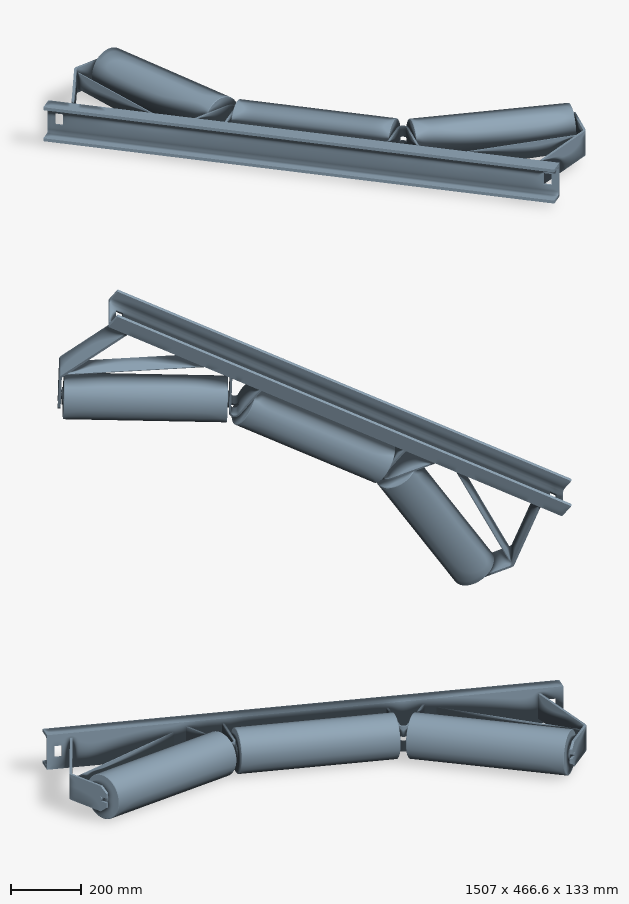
import cadquery as cq
import math

beam_length = 1507.0
beam_height = 105.0
beam_depth = 50.0
web_thickness = 6.0
flange_thickness = 9.0
root_radius = 9.0
bolt_slot_width = 23.0
bolt_slot_height = 35.0
bolt_slot_inset = 33.0

roller_diameter = 133.0
roller_length = 464.0
roller_edge_chamfer = 2.0
hub_diameter = 48.0
hub_length = 5.0
trough_angle = 30.0
middle_axis_y = 118.0
side_roller_x = 481.0
side_roller_y = 244.0

shaft_diameter = 20.0
shaft_flat_width = 14.0

bracket_height = 77.0
inner_gap = 5.0
outer_gap = 8.0
inner_thickness = 6.0
outer_thickness = 8.0
inner_bend_radius = 17.0
outer_bend_radius = 18.0
outer_leg_lean = 14.5
outer_tip_rise = 30.0
tip_bevel_along = 23.0
tip_bevel_across = 17.0
brace_thickness = 3.0
brace_height = 50.0
brace_foot_x = 383.0
brace_head_x = 743.0
brace_head_y = 265.0
foot_overrun = 15.0

half_roller = roller_length / 2
inner_face = half_roller + inner_gap
outer_face = half_roller + outer_gap + outer_thickness
inner_shaft_end = inner_face + inner_thickness
lean = math.radians(outer_leg_lean)

x_direction = cq.Vector(1, 0, 0)
y_direction = cq.Vector(0, 1, 0)
web_back = cq.Vector(0, 0, 0)
leg_direction = cq.Vector(-math.sin(lean), math.cos(lean), 0)

trough = math.radians(trough_angle)
axis_direction = cq.Vector(-math.cos(trough), math.sin(trough), 0)
rise_direction = cq.Vector(math.sin(trough), math.cos(trough), 0)
side_center = cq.Vector(-side_roller_x, side_roller_y, 0)
side_plane = cq.Plane(origin=side_center, xDir=rise_direction, normal=axis_direction)
middle_plane = cq.Plane(origin=(0, middle_axis_y, 0), xDir=(0, 1, 0), normal=(-1, 0, 0))


def mirrored(body):
    """Right-hand copy of a left-hand body."""
    return body.mirror("YZ")


def side_point(outward, rise):
    """Point in XY given along and across the left roller's axis."""
    return side_center + axis_direction * outward + rise_direction * rise


def crossing(point_a, direction_a, point_b, direction_b):
    """Point where two lines in XY cross."""
    along = (point_b - point_a).cross(direction_b).z / direction_a.cross(direction_b).z
    return point_a + direction_a * along


def right_of(direction):
    """Direction in XY turned a quarter turn clockwise."""
    return cq.Vector(direction.y, -direction.x, 0)


def prism(points, height):
    """Upright prism on a polygon in XY, centred on Z = 0."""
    outline = cq.Workplane("XY").workplane(offset=-height / 2).polyline([(p.x, p.y) for p in points])
    return outline.close().extrude(height)


def bent_plate(start, bend, end, thickness, outer_radius):
    """Plate bent once: the points lie on its outer face, the metal on the right of their path."""
    first = (bend - start).normalized()
    second = (end - bend).normalized()
    inner_start = start + right_of(first) * thickness
    inner_end = end + right_of(second) * thickness
    inner_bend = crossing(inner_start, first, inner_end, second)
    plate = prism([start, bend, end, inner_end, inner_bend, inner_start], bracket_height)
    plate = plate.edges(cq.NearestToPointSelector(bend.toTuple())).fillet(outer_radius)
    inner_edge = cq.NearestToPointSelector(inner_bend.toTuple())
    return plate.edges(inner_edge).fillet(outer_radius - thickness)


def make_beam():
    """Channel with a rounded root and a bolt slot through the web near each end."""
    flange_gap = beam_height - 2 * flange_thickness
    beam = cq.Workplane("XY").box(beam_length, beam_depth, beam_height).translate((0, -beam_depth / 2, 0))
    channel = (
        cq.Workplane("XY")
        .box(beam_length, beam_depth, flange_gap)
        .edges("|X and >Y")
        .fillet(root_radius)
        .translate((0, -beam_depth / 2 - web_thickness, 0))
    )
    bolt_slot_x = beam_length / 2 - bolt_slot_inset
    bolt_slots = (
        cq.Workplane("XZ")
        .pushPoints([(-bolt_slot_x, 0), (bolt_slot_x, 0)])
        .rect(bolt_slot_width, bolt_slot_height)
        .extrude(web_thickness)
    )
    return beam.cut(channel).cut(bolt_slots)


def make_outer_bracket():
    """Left outer bracket: leaning leg, bend at the beam's end in X, plate across the roller axis."""
    bend_center = crossing(
        side_point(outer_face - outer_bend_radius, 0),
        rise_direction,
        x_direction * (outer_bend_radius - beam_length / 2),
        y_direction,
    )
    leg_point = bend_center - right_of(leg_direction) * outer_bend_radius
    tip = side_point(outer_face, outer_tip_rise)
    bend = crossing(leg_point, leg_direction, tip, rise_direction)
    foot = crossing(leg_point, leg_direction, web_back, x_direction) - leg_direction * foot_overrun
    plate = bent_plate(foot, bend, tip, outer_thickness, outer_bend_radius)
    return plate.cut(make_tip_corners())


def make_tip_corners():
    """Two wedges that bevel the outer bracket's tip corners."""
    corner = bracket_height / 2
    wedge = (
        cq.Workplane(side_plane)
        .workplane(offset=outer_face - outer_thickness)
        .moveTo(outer_tip_rise, corner)
        .lineTo(outer_tip_rise - tip_bevel_along, corner)
        .lineTo(outer_tip_rise, corner - tip_bevel_across)
        .close()
        .extrude(outer_thickness)
    )
    return wedge.union(wedge.mirror("XY"))


def make_inner_bracket():
    """Left inner bracket: slanted leg under the side roller, upright leg under the middle one."""
    slanted = side_point(-inner_face, 0)
    upright = -x_direction * inner_face
    ridge = crossing(slanted, rise_direction, upright, y_direction)
    slanted_foot = crossing(slanted, rise_direction, web_back, x_direction) - rise_direction * foot_overrun
    bracket = bent_plate(slanted_foot, ridge, upright, inner_thickness, inner_bend_radius)

    slot_bottom = (slanted.y + middle_axis_y) / 2
    slot_corners = [
        cq.Vector(slanted_foot.x, slot_bottom, 0),
        cq.Vector(upright.x, slot_bottom, 0),
        ridge,
        cq.Vector(slanted_foot.x, ridge.y, 0),
    ]
    return bracket.cut(prism(slot_corners, shaft_flat_width))


def make_brace():
    """Left brace: flat strip from the outer bracket's bend down to the beam."""
    foot = cq.Vector(-brace_foot_x, 0, 0)
    head = cq.Vector(-brace_head_x, brace_head_y, 0)
    run = (head - foot).normalized()
    start = foot - run * foot_overrun
    offset = right_of(run) * -brace_thickness
    return prism([start, head, head + offset, start + offset], brace_height)


def cylinder(plane, diameter, half_length):
    """Cylinder along the plane's normal, centred on the plane."""
    disc = cq.Workplane(plane).workplane(offset=-half_length).circle(diameter / 2)
    return disc.extrude(2 * half_length)


def make_shaft(plane, start, end):
    """Shaft along the plane's normal: round inside the roller, flat on two sides beyond it."""
    flat_shaft = flat_shaft_profile(plane, start).extrude(end - start)
    round_length = half_roller + hub_length
    return flat_shaft.union(cylinder(plane, shaft_diameter, round_length))


def flat_shaft_profile(plane, offset):
    """Circle of the shaft cut by two flats that face up and down."""
    radius = shaft_diameter / 2
    half_flat = shaft_flat_width / 2
    flat_reach = math.sqrt(radius**2 - half_flat**2)
    return (
        cq.Workplane(plane)
        .workplane(offset=offset)
        .moveTo(-flat_reach, -half_flat)
        .lineTo(flat_reach, -half_flat)
        .threePointArc((radius, 0), (flat_reach, half_flat))
        .lineTo(-flat_reach, half_flat)
        .threePointArc((-radius, 0), (-flat_reach, -half_flat))
        .close()
    )


def make_roller(plane):
    """Roller with a hub at each end, bored for a shaft."""
    drum = cylinder(plane, roller_diameter, half_roller).edges().chamfer(roller_edge_chamfer)
    hubs = cylinder(plane, hub_diameter, half_roller + hub_length)
    bore = cylinder(plane, shaft_diameter, half_roller + hub_length)
    return drum.union(hubs).cut(bore)


def make_outer_slot():
    """Cutter for the outer bracket's slot, open at the tip and as wide as the shaft's flats."""
    return (
        cq.Workplane(side_plane)
        .workplane(offset=outer_face - outer_thickness)
        .center(outer_tip_rise / 2, 0)
        .rect(outer_tip_rise, shaft_flat_width)
        .extrude(outer_thickness)
    )


def make_frame(shafts):
    """Beam with the brackets and braces of both sides welded to it."""
    left_brackets = make_outer_bracket().cut(make_outer_slot()).union(make_inner_bracket()).union(make_brace())
    beam_space = cq.Workplane("XY").box(2 * beam_length, 2 * beam_depth, 2 * beam_height)
    left_brackets = left_brackets.cut(beam_space.translate((0, -beam_depth, 0)))
    frame = make_beam().union(left_brackets).union(mirrored(left_brackets))
    for shaft in shafts:
        frame = frame.cut(shaft)
    return frame


middle_shaft = make_shaft(middle_plane, -inner_shaft_end, inner_shaft_end)
left_shaft = make_shaft(side_plane, -inner_shaft_end, outer_face)
shafts = [left_shaft, middle_shaft, mirrored(left_shaft)]

middle_roller = make_roller(middle_plane)
left_roller = make_roller(side_plane)
rollers = [left_roller, middle_roller, mirrored(left_roller)]

frame = make_frame(shafts)

result = cq.Compound.makeCompound([body.val() for body in [frame, *rollers, *shafts]])